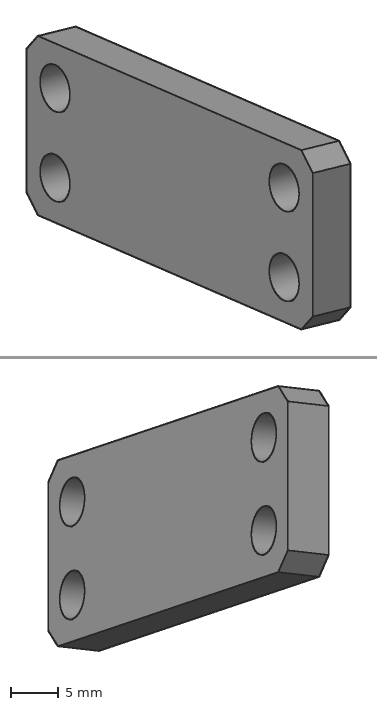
import cadquery as cq

length = 50.0
thickness = 5.0
height = 20.0
corner_chamfer = 2.0

hole_diameter = 5.2
hole_edge_distance = 5.0
hole_spacing_x = length - 2 * hole_edge_distance
hole_spacing_z = height - 2 * hole_edge_distance


def make_plate():
    """Upright plate centred on the origin, with its four corners chamfered."""
    plate = cq.Workplane("XY").box(length, thickness, height)
    return plate.edges("|Y").chamfer(corner_chamfer)


def drill_mounting_holes(plate):
    """Drill one through hole near each corner, along Y."""
    return (
        plate.faces("<Y")
        .workplane(centerOption="CenterOfBoundBox")
        .rect(hole_spacing_x, hole_spacing_z, forConstruction=True)
        .vertices()
        .hole(hole_diameter)
    )


result = drill_mounting_holes(make_plate())